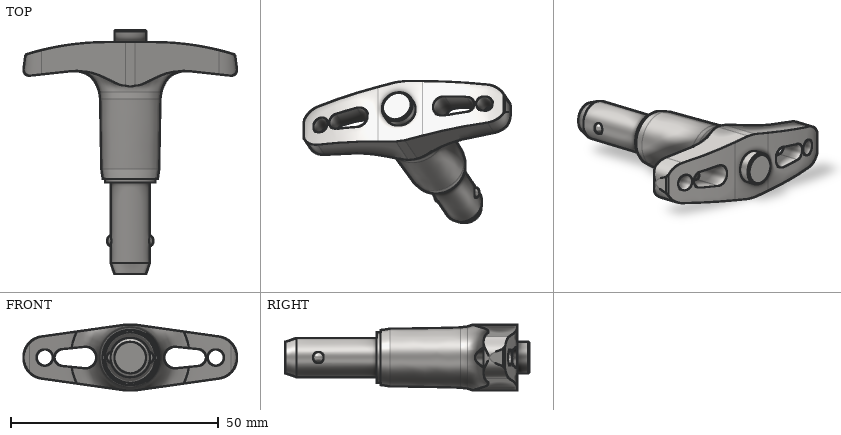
import cadquery as cq
import math


shank_length = 22.02
shank_radius = 4.75
tip_radius = 3.8
tip_taper_length = 2.75
ball_radius = 1.4
ball_offset = 4.2
ball_y = -14.0

collar_radius = 6.1
collar_top = 0.95
grip_nose_radius = 6.65
grip_shoulder_radius = 7.0
grip_shoulder_y = 3.25
grip_top_radius = 7.3
grip_top_y = 20.2
neck_y = 21.85

button_radius = 3.85
button_top = 36.78
button_chamfer = 0.35

handle_length = 51.45
handle_half_width = 15.88 / 2
center_flat_half = 1.15
end_round_radius = 5.15

handle_top = 33.87
crown_start_x = 5.6
crown_radius = 65.0
end_low_y = 27.2
end_high_x = 25.3
end_high_y = 30.4
top_corner_run = 0.3
underside_end_y = 25.72
underside_slope = math.radians(6.2)
lower_corner_x = 24.2

flare_radius = 6.25
flare_center_x = 13.63

hole_radius = 1.93
slot_outer_x = 16.2
slot_outer_radius = 2.0
slot_inner_x = 10.75
slot_inner_radius = 2.56

half_length = handle_length / 2
end_center_x = half_length - end_round_radius


def underside_y(x):
    """Height of the sloped handle underside at a distance x from the axis."""
    return underside_end_y + (lower_corner_x - x) * math.tan(underside_slope)


def crown_y(x):
    """Height of the crowned handle top at a distance x from the axis."""
    drop = crown_radius - math.sqrt(crown_radius**2 - (x - crown_start_x) ** 2)
    return handle_top - drop


def xz_plane_at(y):
    """Workplane with local axes X and Z, whose extrusions run toward -Y."""
    return cq.Workplane("XZ", origin=(0, y, 0))


def tapered_slot(plane):
    """Two arcs of unequal radius joined by their common tangent lines."""
    lean = math.asin((slot_inner_radius - slot_outer_radius) / (slot_outer_x - slot_inner_x))
    outer_x = slot_outer_x + slot_outer_radius * math.sin(lean)
    outer_z = slot_outer_radius * math.cos(lean)
    inner_x = slot_inner_x + slot_inner_radius * math.sin(lean)
    inner_z = slot_inner_radius * math.cos(lean)
    return (
        plane.moveTo(inner_x, inner_z)
        .lineTo(outer_x, outer_z)
        .threePointArc((slot_outer_x + slot_outer_radius, 0), (outer_x, -outer_z))
        .lineTo(inner_x, -inner_z)
        .threePointArc((slot_inner_x - slot_inner_radius, 0), (inner_x, inner_z))
        .close()
    )


def handle_outline(plane):
    """Lozenge with rounded ends, whose sides are tangent to the end rounds."""
    run = end_center_x - center_flat_half
    reach = math.hypot(run, handle_half_width)
    lean = math.acos(end_round_radius / reach) - math.atan2(run, handle_half_width)
    side_x = end_center_x + end_round_radius * math.sin(lean)
    side_z = end_round_radius * math.cos(lean)
    return (
        plane.moveTo(-center_flat_half, handle_half_width)
        .lineTo(center_flat_half, handle_half_width)
        .lineTo(side_x, side_z)
        .threePointArc((half_length, 0), (side_x, -side_z))
        .lineTo(center_flat_half, -handle_half_width)
        .lineTo(-center_flat_half, -handle_half_width)
        .lineTo(-side_x, -side_z)
        .threePointArc((-half_length, 0), (-side_x, side_z))
        .close()
    )


def handle_profile():
    """The +X half of the handle, seen across its length."""
    crown_end_x = end_high_x - top_corner_run
    crown_mid_x = (crown_start_x + crown_end_x) / 2
    corner_height = end_low_y - underside_end_y
    corner_width = half_length - lower_corner_x
    corner_mid = (
        lower_corner_x + corner_width * math.sin(math.pi / 4),
        end_low_y - corner_height * math.cos(math.pi / 4),
    )
    return (
        cq.Workplane("XY")
        .moveTo(0, handle_top)
        .lineTo(crown_start_x, handle_top)
        .threePointArc((crown_mid_x, crown_y(crown_mid_x)), (crown_end_x, crown_y(crown_end_x)))
        .lineTo(end_high_x, end_high_y)
        .lineTo(half_length, end_low_y)
        .threePointArc(corner_mid, (lower_corner_x, underside_end_y))
        .lineTo(0, underside_y(0))
        .close()
    )


def make_outline_prism():
    """Handle outline carried along Y, which also trims the flare to the handle width."""
    return handle_outline(xz_plane_at(handle_top)).extrude(handle_top)


def make_handle():
    """Crowned bar with rounded ends, mirrored about the pin axis."""
    half = handle_profile().extrude(handle_half_width, both=True)
    return half.union(half.mirror("YZ")).intersect(make_outline_prism())


def make_grip():
    """Turned grip whose flare ends tangent to the handle underside."""
    flare_center_y = underside_y(flare_center_x) - flare_radius / math.cos(underside_slope)
    neck_radius = flare_center_x - math.sqrt(flare_radius**2 - (neck_y - flare_center_y) ** 2)
    end_x = flare_center_x + flare_radius * math.sin(underside_slope)
    end_y = flare_center_y + flare_radius * math.cos(underside_slope)
    mid_x = flare_center_x - flare_radius * math.sin(math.pi / 4)
    mid_y = flare_center_y + flare_radius * math.cos(math.pi / 4)
    core_top = (handle_top + end_y) / 2
    turned = (
        cq.Workplane("XY")
        .moveTo(0, 0)
        .lineTo(collar_radius, 0)
        .lineTo(collar_radius, collar_top)
        .lineTo(grip_nose_radius, collar_top)
        .lineTo(grip_shoulder_radius, grip_shoulder_y)
        .lineTo(grip_top_radius, grip_top_y)
        .lineTo(neck_radius, neck_y)
        .threePointArc((mid_x, mid_y), (end_x, end_y))
        .lineTo(end_x, core_top)
        .lineTo(0, core_top)
        .close()
        .revolve(360, (0, 0, 0), (0, 1, 0))
    )
    return turned.intersect(make_outline_prism())


def make_shank():
    """Round pin with a tapered tip and two locking balls."""
    shank = (
        cq.Workplane("XY")
        .moveTo(0, collar_top)
        .lineTo(shank_radius, collar_top)
        .lineTo(shank_radius, tip_taper_length - shank_length)
        .lineTo(tip_radius, -shank_length)
        .lineTo(0, -shank_length)
        .close()
        .revolve(360, (0, 0, 0), (0, 1, 0))
    )
    for side in (-1, 1):
        ball = cq.Workplane("XY").sphere(ball_radius).translate((side * ball_offset, ball_y, 0))
        shank = shank.union(ball)
    return shank


def make_button():
    """Push button standing above the handle, with a chamfered top edge."""
    button = xz_plane_at(button_top).circle(button_radius).extrude(button_top - neck_y)
    return button.faces(">Y").chamfer(button_chamfer)


def make_openings():
    """Round hole and tapered slot on each side, cut through along Y."""
    plane = xz_plane_at(handle_top)
    hole = plane.center(end_center_x, 0).circle(hole_radius).extrude(handle_top)
    slot = tapered_slot(plane).extrude(handle_top)
    one_side = hole.union(slot)
    return one_side.union(one_side.mirror("YZ"))


body = make_handle().union(make_grip()).cut(make_openings())
result = body.union(make_button()).union(make_shank())